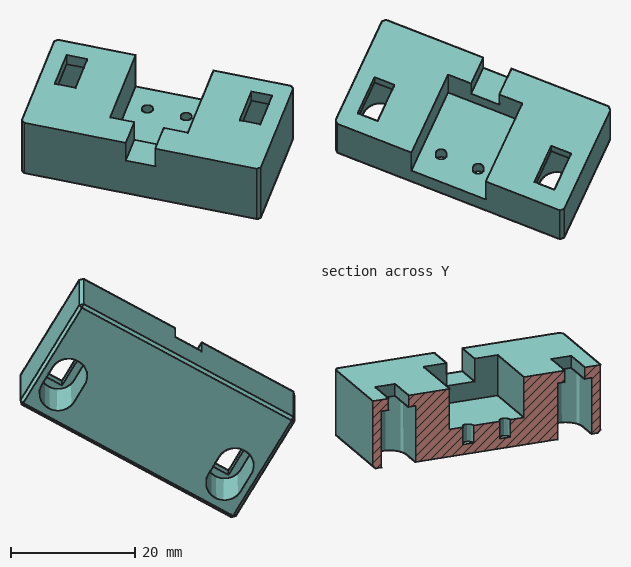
import cadquery as cq

length = 40.0
width = 20.0
height = 11.8
edge_chamfer = 0.5

pocket_width = 13.0
pocket_length = 15.0
pocket_depth = 7.0
channel_width = 4.9
channel_depth = 3.95

hole_diameter = 1.8
hole_spacing = 6.5
hole_back_distance = 4.5
hole_depth = 3.0

slot_width = 3.5
slot_length = 6.9
slot_spacing = 30.9
slot_center_y = 3.5

slot_neck_depth = 2.1
recess_margin = 1.25
recess_width = slot_width + 2 * recess_margin
recess_length = slot_length + 2 * recess_margin
recess_depth = height - slot_neck_depth

back_y = width / 2
pocket_floor_z = height - pocket_depth


def box_from_top(size_x, size_y, depth, center_x, center_y):
    """Box reaching down from the top face by the given depth."""
    return (
        cq.Workplane("XY", origin=(center_x, center_y, height - depth))
        .box(size_x, size_y, depth, centered=(True, True, False))
    )


block = (
    cq.Workplane("XY")
    .box(length, width, height, centered=(True, True, False))
    .edges("|Z or <Z")
    .chamfer(edge_chamfer)
)

pocket = box_from_top(pocket_width, pocket_length, pocket_depth, 0, back_y - pocket_length / 2)
channel = box_from_top(channel_width, width, channel_depth, 0, 0)
result = block.cut(pocket).cut(channel)

for side in (-1, 1):
    slot = box_from_top(slot_width, slot_length, height, side * slot_spacing / 2, slot_center_y)
    hole = (
        cq.Workplane("XY", origin=(side * hole_spacing / 2, back_y - hole_back_distance, pocket_floor_z))
        .circle(hole_diameter / 2)
        .extrude(-hole_depth)
    )
    recess = (
        cq.Workplane("XY", origin=(side * slot_spacing / 2, slot_center_y, 0))
        .slot2D(recess_length, recess_width, 90)
        .extrude(recess_depth)
    )
    result = result.cut(slot).cut(recess).cut(hole)